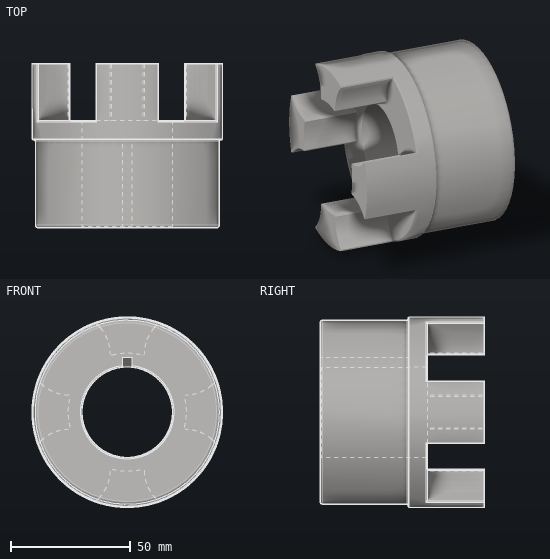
import cadquery as cq
import math

total_length = 69.0
hub_length = 36.8
hub_radius = 38.6
flange_radius = 40.0
hub_face_fillet = 1.1
flange_edge_chamfer = 0.5
shoulder_fillet = 0.5

bore_radius = 19.0
bore_chamfer = 0.6
keyway_width = 4.2
keyway_top = 23.0
keyway_length = hub_length

jaw_length = 23.9
jaw_count = 4
jaw_inner_radius = 24.8
pocket_radius = 17.1
pocket_center_radius = 34.3
pocket_edge_chamfer = 0.6

jaw_floor = total_length - jaw_length
tolerance = 0.01


def cylinder_y(radius, start, length):
    """Cylinder along +Y beginning at y = start."""
    return cq.Workplane(cq.Solid.makeCylinder(radius, length, cq.Vector(0, start, 0), cq.Vector(0, 1, 0)))


def make_body():
    """Hub and flange, revolved about Y."""
    body = (
        cq.Workplane("XY")
        .polyline([
            (0, 0),
            (hub_radius, 0),
            (hub_radius, hub_length),
            (flange_radius - flange_edge_chamfer, hub_length),
            (flange_radius, hub_length + flange_edge_chamfer),
            (flange_radius, total_length),
            (0, total_length),
        ])
        .close()
        .revolve(360, (0, 0, 0), (0, 1, 0))
    )
    body = body.faces("<Y").edges().fillet(hub_face_fillet)
    inner_corner = cq.selectors.RadiusNthSelector(0)
    near_shoulder = cq.selectors.BoxSelector(
        (-flange_radius, hub_length - shoulder_fillet, -flange_radius),
        (flange_radius, hub_length + shoulder_fillet / 2, flange_radius),
    )
    return body.edges(near_shoulder).edges("%CIRCLE").edges(inner_corner).fillet(shoulder_fillet)


def make_jaw_clearance():
    """Central recess joined with one round pocket between each pair of jaws."""
    clearance = cylinder_y(jaw_inner_radius, jaw_floor, jaw_length)
    for index in range(jaw_count):
        angle = (index + 0.5) * 2 * math.pi / jaw_count
        pocket = cylinder_y(pocket_radius, jaw_floor, jaw_length).translate((
            pocket_center_radius * math.cos(angle),
            0,
            pocket_center_radius * math.sin(angle),
        ))
        clearance = clearance.union(pocket)
    return clearance


def chamfer_pocket_edges(body):
    """Break the edges where the pockets meet the flange surface and the inner faces of the jaws."""
    edges = []
    for edge in body.edges().vals():
        middle = edge.positionAt(0.5)
        middle_radius = math.hypot(middle.x, middle.z)
        on_outside = abs(middle_radius - flange_radius) < tolerance
        on_inside = abs(middle_radius - jaw_inner_radius) < tolerance
        in_jaw_zone = jaw_floor - tolerance < middle.y < total_length - tolerance
        runs_along_axis = edge.BoundingBox().ylen > jaw_length - tolerance
        if in_jaw_zone and (on_outside or (on_inside and runs_along_axis)):
            edges.append(edge)
    return body.newObject(edges).chamfer(pocket_edge_chamfer)


def make_bore():
    """Through bore with a chamfered mouth at the hub face."""
    mouth = cq.Workplane(cq.Solid.makeCone(
        bore_radius + bore_chamfer, bore_radius, bore_chamfer,
        cq.Vector(0, 0, 0), cq.Vector(0, 1, 0),
    ))
    return cylinder_y(bore_radius, 0, total_length).union(mouth)


def make_keyway():
    """Rectangular blind keyway above the bore."""
    return cq.Workplane("XY").box(
        keyway_width, keyway_length, keyway_top, centered=(True, False, False)
    )


body = make_body().cut(make_jaw_clearance())
body = chamfer_pocket_edges(body)
result = body.cut(make_bore()).cut(make_keyway())